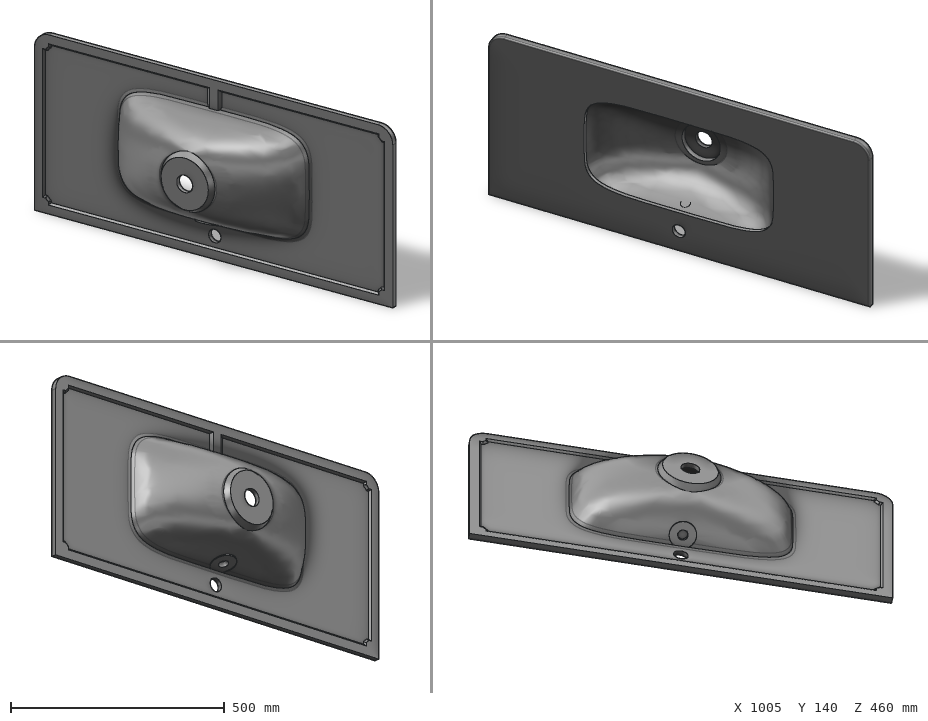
import cadquery as cq
import math

width = 1005.0
height = 460.0
total_depth = 140.0
drain_height = 239.0
slab_depth = 17.0
corner_radius = 42.0
edge_radius = 4.0
z_low = -drain_height
z_high = height - drain_height

rim = 23.0
recess_depth = 5.0
wall_draft = 45.0
corner_step = 16.0
corner_bevel = 8.0
tongue_half_width = 12.0
tongue_base_half_width = 20.0
tongue_end = 145.0
panel_depth = slab_depth - recess_depth

bowl_sections = [
    (22.0, 261.0, 142.0, 5.0),
    (58.0, 238.0, 128.0, 3.6),
    (91.0, 193.0, 109.0, 2.9),
    (126.0, 80.0, 72.0, 2.0),
]
section_points = 32
wall = 12.0
flare_width = 12.0
flare_bend_width = 5.0
flare_bend_depth = 14.0

boss_radius = 66.0
boss_base_radius = 77.0
boss_base_depth = 123.0
drain_radius = 22.0
drain_seat_radius = 50.0
tap_radius = 17.0
tap_z = -182.0

overflow_radius = 32.0
overflow_hole_radius = 12.0
overflow_tilt = 70.0
overflow_face_depth = 39.0
overflow_face_z = -138.0
overflow_length = 15.0


def plane_at(depth):
    """Sketch plane parallel to the deck, with its normal towards -Y."""
    return cq.Workplane("XZ", origin=(0, -depth, 0))


def superellipse(half_width, half_height, exponent):
    """Points around a superellipse, counterclockwise from the +X axis."""
    points = []
    for i in range(section_points):
        angle = 2 * math.pi * i / section_points
        x = math.cos(angle)
        z = math.sin(angle)
        reach = (abs(x) ** exponent + abs(z) ** exponent) ** (-1 / exponent)
        points.append((half_width * reach * x, half_height * reach * z))
    return points


def loft_sections(sections, ruled=False):
    """Solid through superellipse sections that share one spline parametrisation."""
    wires = []
    for depth, half_width, half_height, exponent in sections:
        points = superellipse(half_width, half_height, exponent)
        outline = plane_at(depth).spline(points, periodic=True, parameters=range(section_points + 1))
        wires.append(outline.wire().val())
    return cq.Workplane(cq.Solid.makeLoft(wires, ruled))


def make_slab():
    slab = plane_at(0).center(0, (z_low + z_high) / 2).rect(width, height).extrude(slab_depth)
    slab = slab.edges("|Y and >Z").fillet(corner_radius)
    return slab.faces(">Y").edges().fillet(edge_radius)


def make_recess():
    right = width / 2 - rim
    top = z_high - rim
    bottom = z_low + rim
    step = corner_step
    bevel = corner_bevel
    right_half = [
        (right - step, top),
        (right - step, top - step + bevel),
        (right - step + bevel, top - step),
        (right, top - step),
        (right, bottom + step),
        (right - step + bevel, bottom + step),
        (right - step, bottom + step - bevel),
        (right - step, bottom),
    ]
    left_half = [(-x, z) for x, z in reversed(right_half)]
    outline = plane_at(slab_depth).polyline(right_half + left_half).close()
    return outline.extrude(-recess_depth, taper=wall_draft)


def make_tongue():
    profile = [
        (-tongue_base_half_width, -panel_depth),
        (-tongue_half_width, -slab_depth),
        (tongue_half_width, -slab_depth),
        (tongue_base_half_width, -panel_depth),
    ]
    tongue = cq.Workplane("XY", origin=(0, 0, tongue_end)).polyline(profile).close()
    return tongue.extrude(z_high - rim - tongue_end)


def make_bowl():
    _, half_width, half_height, exponent = bowl_sections[0]
    flare_sections = []
    for depth, offset in ((panel_depth, flare_width), (flare_bend_depth, flare_bend_width)):
        flare_sections.append((depth, half_width + offset, half_height + offset, exponent))
    flare = loft_sections(flare_sections + [bowl_sections[0]], ruled=True)
    return loft_sections(bowl_sections).union(flare)


def make_basin_cavity():
    cavity_sections = []
    for depth, half_width, half_height, exponent in bowl_sections:
        cavity_sections.append((depth - wall, half_width - wall, half_height - wall, exponent))
    _, half_width, half_height, exponent = cavity_sections[0]
    mouth = loft_sections([(0, half_width, half_height, exponent), cavity_sections[0]], ruled=True)
    return loft_sections(cavity_sections).union(mouth)


def make_drain_boss():
    cone = plane_at(boss_base_depth).circle(boss_base_radius)
    cone = cone.workplane(offset=total_depth - boss_base_depth).circle(boss_radius).loft()
    return cone.union(plane_at(boss_base_depth - wall).circle(boss_base_radius).extrude(wall))


def overflow_plane():
    plane = cq.Plane(origin=(0, -overflow_face_depth, overflow_face_z), xDir=(1, 0, 0), normal=(0, -1, 0))
    return cq.Workplane(plane.rotated((overflow_tilt, 0, 0)))


slab = make_slab().cut(make_recess())
body = slab.union(make_tongue()).union(make_bowl()).union(make_drain_boss())
body = body.union(overflow_plane().circle(overflow_radius).extrude(-overflow_length))
body = body.cut(make_basin_cavity())
body = body.cut(overflow_plane().circle(overflow_hole_radius).extrude(-overflow_length))
body = body.cut(plane_at(0).circle(drain_seat_radius).extrude(total_depth - wall))
body = body.cut(plane_at(0).circle(drain_radius).extrude(total_depth))
result = body.cut(plane_at(0).center(0, tap_z).circle(tap_radius).extrude(slab_depth))